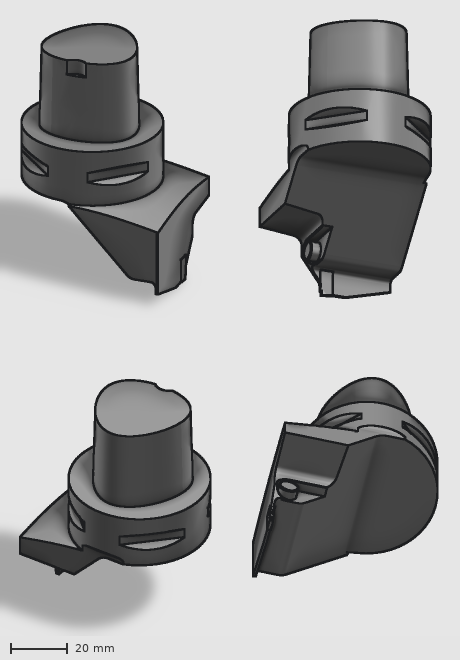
import cadquery as cq
import math


taper_height = 30.0
taper_mean_radius = 35.1 / 2
taper_lobe_height = 1.2
taper_slope = 1 / 40
taper_sectors = 6
sector_samples = 6

notch_radius = 4.8
notch_centre_y = -18.6
notch_depth = 5.4

collar_radius = 25.0
collar_height = 20.0
back_y = 23.5
back_relief_z = -16.75
back_relief_radius = 2.4

slot_count = 4
slot_z = -collar_height / 2
slot_floor_distance = 22.1
slot_floor_half_width = 3.5 / 2
slot_flank_angle = 30
slot_cutter_length = 34.0

arm_right_x = 34.9
arm_front_y = -26.0
lip_front_y = -26.2
lip_thickness = 0.5
arm_root_x = 0.2
arm_root_radius = 5.95
arm_bottom_z = -45.4
arm_toe_x = 24.4
arm_toe_radius = 4.0
blade_left_x = 33.9
blade_root_radius = 1.8

back_bottom_z = -32.5
clamp_y = 7.5
step_bottom_z = -34.0
step_radius = 3.4
clamp_corner_z = -41.2
blade_bottom_z = -54.4
blade_bevel_start_y = -9.0
blade_front_z = -49.6

shoulder_z = -20.8
shoulder_angle = 15
envelope_radius = 51.0

screw_radius = 7.0 / 2
screw_x = 29.75
screw_z = -41.0
screw_edge_chamfer = 0.3
pocket_radius = 4.4
pocket_floor_y = 3.7

insert_left_x = 33.7
insert_right_x = 35.0
insert_front_y = -4.0
insert_back_y = 0.85
insert_top_z = -45.7
insert_bottom_z = -55.0
insert_heel_z = -54.6
blade_corner_z = -50.2
rake_start_z = -51.0
rake_y = 0.7
lip_start_z = -53.5
tip_y = 0.2
side_relief_angle = 8
side_relief_size = 8.5
side_relief_start = (0.8, -51.85)
side_relief_end = (-1.6, -54.9)


def box(x_range, y_range, z_range):
    """Axis-aligned box given by its three ranges."""
    corner = cq.Vector(x_range[0], y_range[0], z_range[0])
    size = [r[1] - r[0] for r in (x_range, y_range, z_range)]
    return cq.Workplane(cq.Solid.makeBox(*size, corner))


def taper_point(radius, angle):
    """Point of the three-lobed outline, with one lobe toward +Y."""
    x = radius * math.sin(angle) - taper_lobe_height * math.sin(2 * angle)
    y = radius * math.cos(angle) + taper_lobe_height * math.cos(2 * angle)
    return x, y


def taper_outline(z):
    """Closed wire at height z, with one curve per lobe or flat."""
    radius = taper_mean_radius - taper_slope * z
    sector = 2 * math.pi / taper_sectors
    edges = []
    for k in range(taper_sectors):
        angles = [(k - 0.5 + i / sector_samples) * sector for i in range(sector_samples + 1)]
        points = [cq.Vector(*taper_point(radius, a), z) for a in angles]
        edges.append(cq.Edge.makeSpline(points))
    return cq.Wire.assembleEdges(edges)


def make_taper():
    taper = cq.Workplane(cq.Solid.makeLoft([taper_outline(0), taper_outline(taper_height)], True))
    notch = (
        cq.Workplane("XY", origin=(0, notch_centre_y, taper_height - notch_depth))
        .circle(notch_radius)
        .extrude(notch_depth)
    )
    return taper.cut(notch)


def gripper_slot(angle):
    """Straight slot with flared flanks, cut across the collar rim."""
    depth = collar_radius - slot_floor_distance
    mouth_half_width = slot_floor_half_width + depth * math.tan(math.radians(slot_flank_angle))
    return (
        cq.Workplane("XZ", origin=(0, slot_cutter_length / 2, slot_z))
        .moveTo(slot_floor_distance, -slot_floor_half_width)
        .lineTo(collar_radius, -mouth_half_width)
        .lineTo(collar_radius, mouth_half_width)
        .lineTo(slot_floor_distance, slot_floor_half_width)
        .close()
        .extrude(slot_cutter_length)
        .rotate((0, 0, 0), (0, 0, 1), angle)
    )


def head_envelope():
    """Round collar with the conical shoulder flaring out below it."""
    drop = (envelope_radius - collar_radius) * math.tan(math.radians(shoulder_angle))
    return (
        cq.Workplane("XZ")
        .polyline([
            (0, 0),
            (collar_radius, 0),
            (collar_radius, shoulder_z),
            (envelope_radius, shoulder_z - drop),
            (envelope_radius, insert_bottom_z),
            (0, insert_bottom_z),
        ])
        .close()
        .revolve(360, (0, 0), (0, 1))
    )


def fillet_corner(prism, direction, corner, radius):
    """Round the prism edge that runs along an axis nearest to the given corner."""
    edge = cq.selectors.NearestToPointSelector(corner)
    return prism.edges(direction).edges(edge).fillet(radius)


def side_prism():
    """Collar and arm outline in XZ, extruded along Y."""
    prism = (
        cq.Workplane("XZ", origin=(0, envelope_radius, 0))
        .polyline([
            (-envelope_radius, 0),
            (-envelope_radius, -collar_height),
            (arm_root_x, -collar_height),
            (arm_toe_x, arm_bottom_z),
            (blade_left_x, arm_bottom_z),
            (blade_left_x, insert_bottom_z),
            (arm_right_x, insert_bottom_z),
            (arm_right_x, 0),
        ])
        .close()
        .extrude(2 * envelope_radius)
    )
    prism = fillet_corner(prism, "|Y", (arm_root_x, 0, -collar_height), arm_root_radius)
    prism = fillet_corner(prism, "|Y", (arm_toe_x, 0, arm_bottom_z), arm_toe_radius)
    return fillet_corner(prism, "|Y", (blade_left_x, 0, arm_bottom_z), blade_root_radius)


def front_prism():
    """Collar and arm outline in YZ, extruded along X."""
    prism = (
        cq.Workplane("YZ", origin=(-envelope_radius, 0, 0))
        .polyline([
            (envelope_radius, 0),
            (envelope_radius, back_relief_z),
            (back_y, back_relief_z),
            (back_y, back_bottom_z),
            (clamp_y, step_bottom_z),
            (clamp_y, clamp_corner_z),
            (insert_back_y, blade_corner_z),
            (insert_front_y, blade_bottom_z),
            (blade_bevel_start_y, blade_bottom_z),
            (lip_front_y, blade_front_z),
            (lip_front_y, 0),
        ])
        .close()
        .extrude(2 * envelope_radius)
    )
    prism = fillet_corner(prism, "|X", (0, back_y, back_relief_z), back_relief_radius)
    return fillet_corner(prism, "|X", (0, clamp_y, step_bottom_z), step_radius)


def screw_pocket():
    """Round-ended pocket that opens toward -X and downward."""
    depth = clamp_y - pocket_floor_y
    round_end = (
        cq.Workplane("XZ", origin=(screw_x, clamp_y, screw_z))
        .circle(pocket_radius)
        .extrude(depth)
    )
    opening = box((arm_root_x, screw_x), (pocket_floor_y, clamp_y),
                  (insert_top_z, screw_z + pocket_radius))
    return round_end.union(opening)


def screw_head():
    return (
        cq.Workplane("XZ", origin=(screw_x, clamp_y, screw_z))
        .circle(screw_radius)
        .extrude(clamp_y - pocket_floor_y)
        .faces(">Y")
        .chamfer(screw_edge_chamfer)
    )


def lip_relief():
    """Space in front of the arm, leaving a thin lip beside the +X face."""
    return box((-envelope_radius, arm_right_x - lip_thickness), (lip_front_y, arm_front_y),
               (insert_bottom_z, 0))


def insert_seat():
    """Seat of the insert, open on both sides of the blade and at the bottom."""
    return box((blade_left_x - blade_root_radius, insert_right_x), (insert_front_y, insert_back_y),
               (insert_bottom_z, insert_top_z))


def make_holder():
    holder = head_envelope().intersect(side_prism()).intersect(front_prism())
    holder = holder.cut(lip_relief()).cut(screw_pocket()).cut(insert_seat())
    for k in range(slot_count):
        holder = holder.cut(gripper_slot((k + 0.5) * 360 / slot_count))
    return holder.union(screw_head()).union(make_taper())


def make_insert():
    insert = (
        cq.Workplane("YZ", origin=(insert_left_x, 0, 0))
        .polyline([
            (insert_front_y, insert_top_z),
            (insert_back_y, insert_top_z),
            (insert_back_y, rake_start_z),
            (rake_y, rake_start_z),
            (rake_y, lip_start_z),
            (tip_y, lip_start_z),
            (tip_y, insert_bottom_z),
            (insert_front_y, insert_heel_z),
        ])
        .close()
        .extrude(insert_right_x - insert_left_x)
    )
    start = cq.Vector(insert_left_x, *side_relief_start)
    crease = cq.Vector(insert_left_x, *side_relief_end) - start
    relief_plane = cq.Plane(origin=start, xDir=crease, normal=(-1, 0, 0))
    relief_plane = relief_plane.rotated((side_relief_angle, 0, 0))
    relief = (
        cq.Workplane(relief_plane)
        .rect(side_relief_size, side_relief_size)
        .extrude(side_relief_size)
    )
    return insert.cut(relief)


holder = make_holder()
insert = make_insert()

result = cq.Compound.makeCompound([holder.solids().val(), insert.solids().val()])